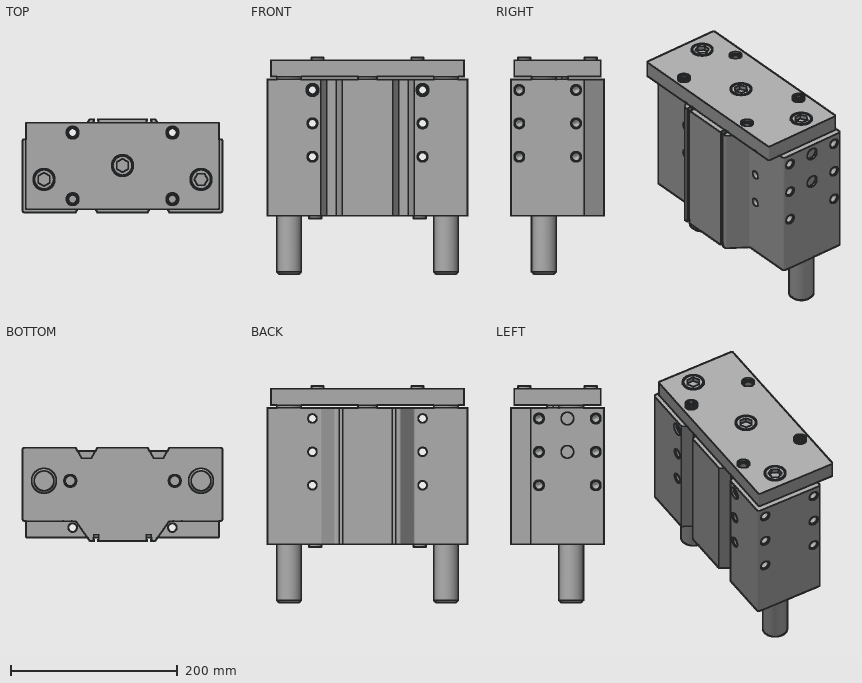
import cadquery as cq
import math


housing_bottom = 70.0
housing_height = 163.7
housing_top = housing_bottom + housing_height
plate_thickness = 20.0
sleeve_height = 6.2
sleeve_overhang = sleeve_height / 2
overall_height = 260.0
plate_top = overall_height - sleeve_overhang
plate_bottom = plate_top - plate_thickness

housing_width = 240.0
housing_depth = 112.0
shoulder_y = 88.0
corner_radius = 2.5
groove_slope = math.tan(math.radians(60))
back_slope = math.tan(math.radians(55))
back_half_width = 39.2
back_foot_half_width = back_half_width + (housing_depth - shoulder_y) / back_slope

groove_inner_x = 30.1
groove_outer_x = 56.1
groove_depth = 12.5
groove_run = groove_depth / groove_slope

sensor_slot_x = 31.7
sensor_slot_width = 4.2
sensor_slot_lip = 1.8
sensor_slot_inner_width = 6.0
sensor_slot_depth = 7.8

mount_x = 66.0
side_hole_ys = (10.1, 78.2)
top_row_z = housing_top - 12.7
row_pitch = 40.0
row_zs = [top_row_z - row_pitch * row for row in range(3)]
thread_diameter = 12.5
tap_diameter = 10.1
countersink_depth = (thread_diameter - tap_diameter) / 2
side_hole_depth = 20.0
drill_tip_half_angle = 59.0

port_y = 44.2
port_diameter = 15.0
port_depth = 10.0
plug_recess = 3.0

plate_width = 231.8
plate_depth = 104.0
plate_front_y = 4.0
plate_corner_radius = 1.8
guide_x = 94.0
guide_y = 39.8
guide_diameter = 30.0
guide_chamfer = 3.0
piston_y = 56.5
piston_diameter = 25.0
piston_flats = 23.0
piston_insertion = 26.0

screw_recess_diameter = 26.0
screw_head_diameter = 25.0
screw_head_chamfer = 1.0
screw_recess_depth = 16.0
hex_flats = 14.0
hex_depth = 5.7

sleeve_diameter = 15.0
sleeve_bore = 12.5
sleeve_chamfer = 0.5
sleeve_seat = sleeve_height - sleeve_overhang
plate_hole_x = 59.8
plate_hole_front_y = 16.0
plate_hole_rear_y = 96.0
bottom_sleeve_x = 62.6

guide_points = [(side * guide_x, guide_y) for side in (-1, 1)]
plate_hole_points = [
    (side * plate_hole_x, y) for side in (-1, 1) for y in (plate_hole_front_y, plate_hole_rear_y)
]
plate_sleeve_points = [(-plate_hole_x, plate_hole_front_y), (plate_hole_x, plate_hole_rear_y)]
bottom_sleeve_points = [(side * bottom_sleeve_x, guide_y) for side in (-1, 1)]


def cylinders(points, diameter, bottom, height):
    """Upright cylinders standing on the height `bottom`."""
    return cq.Workplane("XY", origin=(0, 0, bottom)).pushPoints(points).circle(diameter / 2).extrude(height)


def housing_blank():
    """Extruded profile: wide front block, narrower trapezoid behind it, all edges rounded."""
    half_width = housing_width / 2
    return (
        cq.Workplane("XY", origin=(0, 0, housing_bottom))
        .polyline(
            [
                (-half_width, 0),
                (half_width, 0),
                (half_width, shoulder_y),
                (back_foot_half_width, shoulder_y),
                (back_half_width, housing_depth),
                (-back_half_width, housing_depth),
                (-back_foot_half_width, shoulder_y),
                (-half_width, shoulder_y),
            ]
        )
        .close()
        .extrude(housing_height)
        .edges("|Z")
        .fillet(corner_radius)
    )


def front_groove(side):
    """Trapezoid groove over the full height of the front face, narrowing inwards."""
    return (
        cq.Workplane("XY", origin=(0, 0, housing_bottom))
        .moveTo(side * groove_inner_x, 0)
        .lineTo(side * (groove_inner_x + groove_run), groove_depth)
        .lineTo(side * (groove_outer_x - groove_run), groove_depth)
        .lineTo(side * groove_outer_x, 0)
        .close()
        .extrude(housing_height)
    )


def slot_bar(side, width, depth, back_y):
    """Full-height bar of one sensor slot, reaching forwards from `back_y`."""
    return (
        cq.Workplane("XY")
        .box(width, depth, housing_height, centered=(True, False, False))
        .translate((side * sensor_slot_x, back_y - depth, housing_bottom))
    )


def sensor_slot(side):
    """T-slot along the back: a narrow mouth that opens into a wider channel."""
    mouth = slot_bar(side, sensor_slot_width, sensor_slot_depth, housing_depth)
    channel = slot_bar(
        side, sensor_slot_inner_width, sensor_slot_depth - sensor_slot_lip, housing_depth - sensor_slot_lip
    )
    return mouth.union(channel)


def tapped_hole(length, seat):
    """Through hole along +Z from the origin: sleeve seat of depth `seat`, countersink and tap bore."""
    hole = cylinders([(0, 0)], tap_diameter, 0, length)
    sink = cq.Solid.makeCone(thread_diameter / 2, tap_diameter / 2, countersink_depth)
    hole = hole.union(cq.Workplane(sink.translate(cq.Vector(0, 0, seat))))
    if seat > 0:
        hole = hole.union(cylinders([(0, 0)], sleeve_diameter, 0, seat))
    return hole


def front_hole(x, z):
    """Through hole along Y; those of the top row start with an empty sleeve seat."""
    seat = sleeve_seat if z == top_row_z else 0
    return tapped_hole(shoulder_y, seat).rotate((0, 0, 0), (1, 0, 0), -90).translate((x, 0, z))


def side_hole(side, y, z):
    """Blind drilled hole along X with a conical tip, from the side face inwards."""
    radius = tap_diameter / 2
    tip = radius / math.tan(math.radians(drill_tip_half_angle))
    hole = (
        cq.Workplane("XZ")
        .moveTo(0, 0)
        .lineTo(thread_diameter / 2, 0)
        .lineTo(radius, countersink_depth)
        .lineTo(radius, side_hole_depth)
        .lineTo(0, side_hole_depth + tip)
        .close()
        .revolve(360, (0, 0, 0), (0, 1, 0))
    )
    return hole.rotate((0, 0, 0), (0, 1, 0), -90 * side).translate((side * housing_width / 2, y, z))


def port_cylinder(z, start, end):
    """Cylinder on a port axis between two depths below the left side face."""
    return (
        cq.Workplane("YZ", origin=(start - housing_width / 2, port_y, z))
        .circle(port_diameter / 2)
        .extrude(end - start)
    )


def make_housing():
    housing = housing_blank()
    for side in (-1, 1):
        housing = housing.cut(front_groove(side)).cut(sensor_slot(side))
        for z in row_zs:
            housing = housing.cut(front_hole(side * mount_x, z))
            for y in side_hole_ys:
                housing = housing.cut(side_hole(side, y, z))
    for z in row_zs[:2]:
        housing = housing.cut(port_cylinder(z, 0, port_depth))
    housing = housing.cut(cylinders(guide_points, guide_diameter, housing_bottom, housing_height))
    housing = housing.cut(
        cylinders([(0, piston_y)], piston_diameter, housing_top - piston_insertion, piston_insertion)
    )
    return housing.cut(cylinders(bottom_sleeve_points, sleeve_diameter, housing_bottom, sleeve_seat))


def screw_cut(x, y, turn):
    """Ring gap around a flush screw head and its hexagon socket."""
    head = (
        cq.Workplane("XY", origin=(x, y, plate_top - screw_recess_depth))
        .circle(screw_head_diameter / 2)
        .extrude(screw_recess_depth)
        .faces(">Z")
        .chamfer(screw_head_chamfer)
    )
    gap = cylinders(
        [(x, y)], screw_recess_diameter, plate_top - screw_recess_depth, screw_recess_depth
    ).cut(head)
    socket = (
        cq.Workplane("XY", origin=(x, y, plate_top))
        .transformed(rotate=(0, 0, turn))
        .polygon(6, hex_flats / math.cos(math.radians(30)))
        .extrude(-hex_depth)
    )
    return gap.union(socket)


def make_yoke():
    plate = (
        cq.Workplane("XY")
        .box(plate_width, plate_depth, plate_thickness, centered=(True, False, False))
        .translate((0, plate_front_y, plate_bottom))
        .edges("|Z")
        .fillet(plate_corner_radius)
    )
    guides = cylinders(guide_points, guide_diameter, 0, plate_bottom).faces("<Z").chamfer(guide_chamfer)
    piston_rod = cylinders(
        [(0, piston_y)], piston_diameter, housing_top - piston_insertion, piston_insertion
    )
    neck = cylinders([(0, piston_y)], piston_diameter, housing_top, plate_bottom - housing_top).intersect(
        cq.Workplane("XY")
        .box(piston_flats, piston_diameter, plate_bottom, centered=(True, True, False))
        .translate((0, piston_y, 0))
    )
    yoke = plate.union(guides).union(neck).union(piston_rod)
    for x, y, turn in ((-guide_x, guide_y, 30), (0, piston_y, 30), (guide_x, guide_y, 0)):
        yoke = yoke.cut(screw_cut(x, y, turn))
    for x, y in plate_hole_points:
        hole = tapped_hole(plate_thickness, sleeve_seat).rotate((0, 0, 0), (1, 0, 0), 180)
        yoke = yoke.cut(hole.translate((x, y, plate_top)))
    return yoke


def make_sleeve(x, y, bottom):
    """Centring ring with chamfered outer rims."""
    return (
        cq.Workplane("XY")
        .circle(sleeve_diameter / 2)
        .circle(sleeve_bore / 2)
        .extrude(sleeve_height)
        .edges(cq.selectors.RadiusNthSelector(-1))
        .chamfer(sleeve_chamfer)
        .translate((x, y, bottom))
    )


housing = make_housing()
yoke = make_yoke()
sleeves = [make_sleeve(x, y, plate_top - sleeve_seat) for x, y in plate_sleeve_points]
sleeves += [make_sleeve(x, y, housing_bottom - sleeve_overhang) for x, y in bottom_sleeve_points]

plugs = [port_cylinder(z, plug_recess, port_depth) for z in row_zs[:2]]

result = cq.Compound.makeCompound(
    [
        housing.val(),
        yoke.val(),
        *[sleeve.val() for sleeve in sleeves],
        *[plug.val() for plug in plugs],
    ]
)